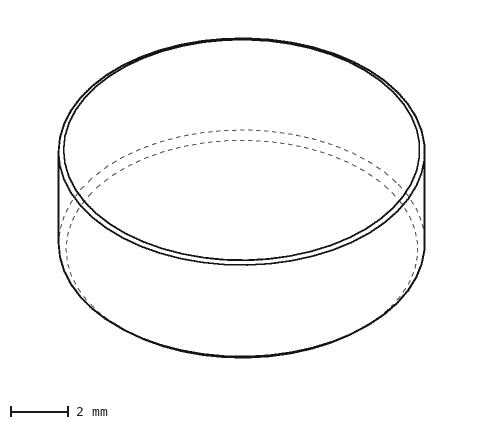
import cadquery as cq

outer_diameter = 12.7
height = 4.37
bowl_diameter = 12.35
bowl_depth = 2.37
bottom_chamfer = 0.25
top_chamfer_height = 0.08

outer_radius = outer_diameter / 2
bowl_radius = bowl_diameter / 2
sphere_radius = (bowl_radius**2 + bowl_depth**2) / (2 * bowl_depth)
sphere_center_height = height - bowl_depth + sphere_radius

body = (
    cq.Workplane("XZ")
    .moveTo(0, 0)
    .lineTo(outer_radius - bottom_chamfer, 0)
    .lineTo(outer_radius, bottom_chamfer)
    .lineTo(outer_radius, height - top_chamfer_height)
    .lineTo(bowl_radius, height)
    .lineTo(0, height)
    .close()
    .revolve(360, (0, 0, 0), (0, 1, 0))
)

bowl = cq.Workplane("XY").sphere(sphere_radius).translate((0, 0, sphere_center_height))

result = body.cut(bowl)